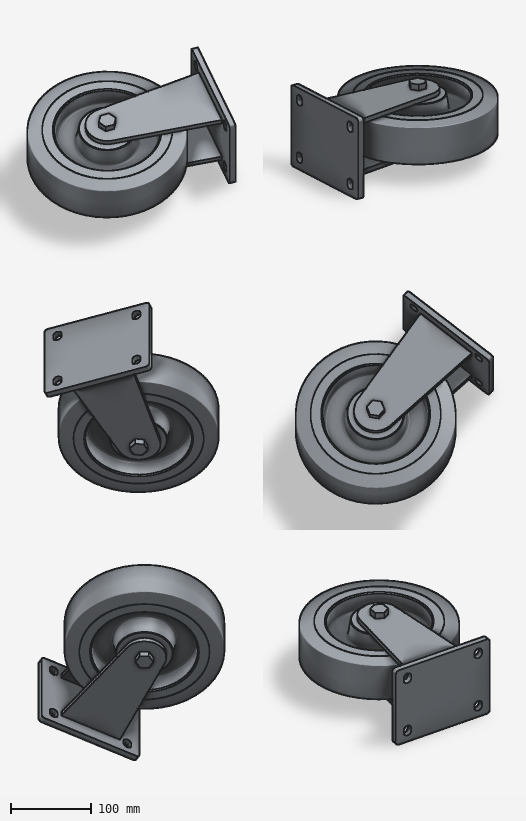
import cadquery as cq
import math


plate_width = 140.1
plate_height = 110.0
plate_thickness = 8.0
plate_corner_radius = 5.0
plate_outer_y = 145.0
plate_inner_y = plate_outer_y - plate_thickness
slot_width = 11.3
slot_length = 14.0
slot_spacing_x = 105.4
slot_spacing_z = 77.5

arm_inner_z = 31.4
arm_thickness = 6.4
arm_outer_z = arm_inner_z + arm_thickness
arm_root_width = 83.8
arm_tip_radius = 27.2

axle_diameter = 20.0
head_across_flats = 19.5
head_height = 8.3

wheel_radius = 100.0
tyre_shoulder_z = 25.2
tyre_edge_radius = 1.2
tyre_inner_z = 27.2
rim_radius = 162.5 / 2
rim_z = 27.7
rim_bore_radius = 66.5
rim_edge_chamfer = 1.7
pocket_floor_radius = 64.2
web_z = 5.5
pocket_fillet = 3.7
hub_top_radius = 35.8
hub_foot_radius = 39.5
hub_z = 30.1
hub_edge_chamfer = 0.7


def make_plate():
    plate = (
        cq.Workplane("XY")
        .box(plate_width, plate_thickness, plate_height)
        .translate((0, plate_outer_y - plate_thickness / 2, 0))
        .edges("|Y")
        .fillet(plate_corner_radius)
    )
    slots = (
        cq.Workplane("XZ", origin=(0, plate_outer_y, 0))
        .rarray(slot_spacing_x, slot_spacing_z, 2, 2)
        .slot2D(slot_length, slot_width, 90)
        .extrude(plate_thickness)
    )
    return plate.cut(slots)


def make_arm():
    """Upper arm: straight sides tangent to the round tip about the axle."""
    root_x = arm_root_width / 2
    root_distance = math.hypot(root_x, plate_inner_y)
    tangent_angle = math.atan2(plate_inner_y, root_x) - math.acos(arm_tip_radius / root_distance)
    tangent_x = arm_tip_radius * math.cos(tangent_angle)
    tangent_y = arm_tip_radius * math.sin(tangent_angle)
    return (
        cq.Workplane("XY", origin=(0, 0, arm_inner_z))
        .moveTo(-root_x, plate_inner_y)
        .lineTo(-tangent_x, tangent_y)
        .threePointArc((0, -arm_tip_radius), (tangent_x, tangent_y))
        .lineTo(root_x, plate_inner_y)
        .close()
        .extrude(arm_thickness)
    )


def make_head():
    """Upper hexagonal head with two corners pointing along Y."""
    across_corners = head_across_flats / math.cos(math.pi / 6)
    return (
        cq.Workplane("XY", origin=(0, 0, arm_outer_z))
        .transformed(rotate=(0, 0, 90))
        .polygon(6, across_corners)
        .extrude(head_height)
    )


def make_half_wheel():
    """Upper half of the wheel, with an annular pocket between hub and rim."""
    tyre_arc_radius = wheel_radius - tyre_edge_radius
    tyre_arc_z = tyre_shoulder_z - tyre_edge_radius
    arc_offset = tyre_edge_radius * math.sqrt(0.5)
    body = (
        cq.Workplane("XZ")
        .lineTo(wheel_radius, 0)
        .lineTo(wheel_radius, tyre_arc_z)
        .threePointArc(
            (tyre_arc_radius + arc_offset, tyre_arc_z + arc_offset),
            (tyre_arc_radius, tyre_shoulder_z),
        )
        .lineTo(rim_radius, tyre_inner_z)
        .lineTo(rim_radius, rim_z)
        .lineTo(rim_bore_radius + rim_edge_chamfer, rim_z)
        .lineTo(rim_bore_radius, rim_z - rim_edge_chamfer)
        .lineTo(pocket_floor_radius, web_z)
        .lineTo(hub_foot_radius, web_z)
        .lineTo(hub_top_radius, hub_z - hub_edge_chamfer)
        .lineTo(hub_top_radius - hub_edge_chamfer, hub_z)
        .lineTo(0, hub_z)
        .close()
        .revolve(360, (0, 0, 0), (0, 1, 0))
    )
    floor_edges = cq.selectors.BoxSelector(
        (-wheel_radius, -wheel_radius, web_z - pocket_fillet / 2),
        (wheel_radius, wheel_radius, web_z + pocket_fillet / 2),
        boundingbox=True,
    )
    return body.edges(floor_edges).edges("%CIRCLE").fillet(pocket_fillet)


def make_wheel():
    """Full-width cylinder recessed on both sides, so the tread is one unbroken face."""
    blank = cq.Workplane("XY").circle(wheel_radius).extrude(hub_z, both=True)
    upper_blank = cq.Workplane("XY").circle(wheel_radius).extrude(hub_z)
    recess = upper_blank.cut(make_half_wheel())
    return blank.cut(recess).cut(recess.mirror("XY"))


def make_axle():
    return (
        cq.Workplane("XY")
        .circle(axle_diameter / 2)
        .extrude(arm_outer_z, both=True)
    )


result = make_plate().union(make_axle()).union(make_wheel())
for make_upper_part in (make_arm, make_head):
    upper_part = make_upper_part()
    result = result.union(upper_part).union(upper_part.mirror("XY"))